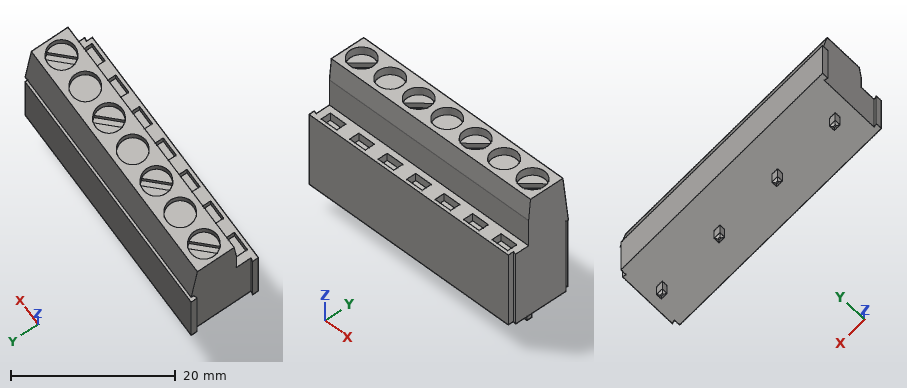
import cadquery as cq


total_length = 35.5
interlock = 0.5
housing_length = total_length - interlock
depth = 10.0
base_height = 11.55
top_height = 19.0
shoulder_height = 15.7
shoulder_y = 2.95
tower_front_y = 3.25
tower_back_y = 8.75
tower_back_foot_y = 9.65

flange_root = 0.75
flange_tip = 0.9

way_count = 7
pitch = housing_length / way_count
first_way_x = interlock + pitch / 2
way_xs = [first_way_x + pitch * way for way in range(way_count)]
contact_xs = way_xs[::2]

well_diameter = 3.98
well_y = 6.0
well_depth = 1.25
slot_width = 0.95
slot_depth = 0.75
slot_angle = 45

pocket_length = 2.75
pocket_width = 1.53
pocket_depth = 1.17
pocket_front_y = 0.5

pin_width = 1.0
pin_thickness = 0.8
pin_length = 3.5
pin_chamfer = 0.32


def make_housing():
    """Side profile of base and tower, extruded along the row."""
    profile = [
        (0, 0),
        (depth, 0),
        (depth, base_height),
        (tower_back_foot_y, base_height),
        (tower_back_y, top_height),
        (tower_front_y, top_height),
        (shoulder_y, shoulder_height),
        (shoulder_y, base_height),
        (0, base_height),
    ]
    housing = cq.Workplane("YZ").polyline(profile).close().extrude(housing_length)
    return housing.translate((interlock, 0, 0))


def make_interlocks(root_x):
    """Pair of dovetail strips at the front and back edges, reaching from root_x toward -X."""
    tip_x = root_x - interlock
    front = [(root_x, 0), (tip_x, 0), (tip_x, flange_tip), (root_x, flange_root)]
    back = [(x, depth - y) for x, y in front]
    strips = cq.Workplane("XY").polyline(front).close().polyline(back).close()
    return strips.extrude(base_height)


def make_wells():
    """Round blind wells in the top of the tower, one per way."""
    wells = cq.Workplane("XY", origin=(0, well_y, top_height))
    return wells.pushPoints([(x, 0) for x in way_xs]).circle(well_diameter / 2).extrude(-well_depth)


def make_screw_slot(x):
    """Driver slot running right across the floor of a well."""
    floor = cq.Workplane("XY", origin=(x, well_y, top_height - well_depth))
    disc = floor.circle(well_diameter / 2).extrude(-slot_depth)
    turned = floor.transformed(rotate=(0, 0, slot_angle))
    bar = turned.rect(well_diameter, slot_width).extrude(-slot_depth)
    return disc.intersect(bar)


def make_pockets():
    """Blind rectangular pockets, one per way."""
    ledge = cq.Workplane("XY", origin=(0, pocket_front_y + pocket_width / 2, base_height))
    centers = [(x, 0) for x in way_xs]
    return ledge.pushPoints(centers).rect(pocket_length, pocket_width).extrude(-pocket_depth)


def make_pin(x):
    """Rectangular pin with a chamfered tip, hanging below the housing."""
    underside = cq.Workplane("XY", origin=(x, depth / 2, 0))
    pin = underside.rect(pin_width, pin_thickness).extrude(-pin_length)
    return pin.faces("<Z").chamfer(pin_chamfer)


result = make_housing().union(make_interlocks(interlock))
result = result.cut(make_interlocks(total_length))
result = result.cut(make_wells()).cut(make_pockets())
for contact_x in contact_xs:
    result = result.cut(make_screw_slot(contact_x)).union(make_pin(contact_x))